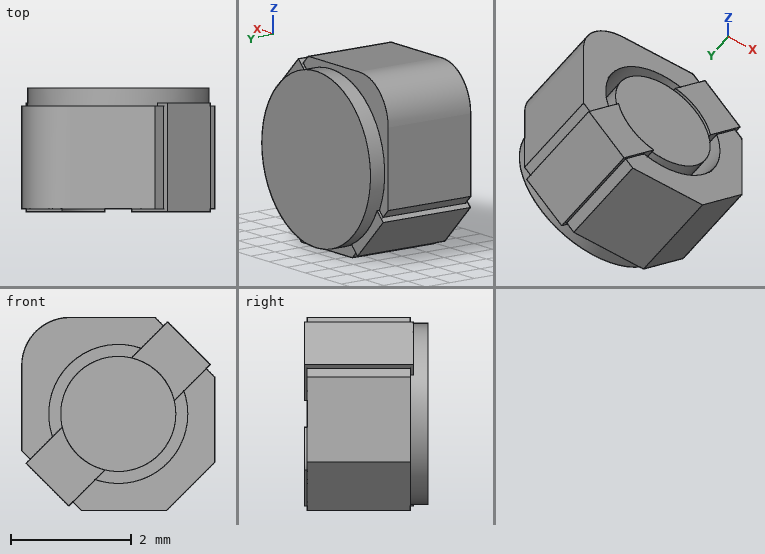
import cadquery as cq
import math

width = 3.2
half_width = width / 2
housing_depth = 1.71
terminal_corner_cut = 0.992
plain_corner_cut = 0.8
round_corner_radius = 0.8

bore_radius = 1.152
post_radius = 0.955
flange_radius = 1.505
flange_depth = 0.295

terminal_width = 1.0
terminal_thickness = 0.095
terminal_overhang = 0.048
terminal_angles = (45.0, 225.0)

housing_front = terminal_overhang
housing_rear = housing_front + housing_depth
terminal_depth = housing_depth + 2 * terminal_overhang
terminal_reach = (width - terminal_corner_cut) / math.sqrt(2) + terminal_thickness


def cylinder(radius, front, depth):
    """Solid cylinder about the Y axis, running toward +Y from front."""
    return cq.Workplane("XZ", origin=(0, front, 0)).circle(radius).extrude(-depth)


def make_block():
    """Block without the bore."""
    arc_middle = half_width - round_corner_radius * (1 - math.sqrt(0.5))
    return (
        cq.Workplane("XZ", origin=(0, housing_front, 0))
        .moveTo(-half_width + round_corner_radius, half_width)
        .lineTo(half_width - terminal_corner_cut, half_width)
        .lineTo(half_width, half_width - terminal_corner_cut)
        .lineTo(half_width, -half_width + plain_corner_cut)
        .lineTo(half_width - plain_corner_cut, -half_width)
        .lineTo(-half_width + terminal_corner_cut, -half_width)
        .lineTo(-half_width, -half_width + terminal_corner_cut)
        .lineTo(-half_width, half_width - round_corner_radius)
        .threePointArc((-arc_middle, arc_middle), (-half_width + round_corner_radius, half_width))
        .close()
        .extrude(-housing_depth)
    )


def make_housing():
    """Bored block with its flange, and the post standing on the flange."""
    bore = cylinder(bore_radius, housing_front, housing_depth)
    post = cylinder(post_radius, housing_front, housing_depth)
    flange = cylinder(flange_radius, housing_rear, flange_depth)
    return make_block().cut(bore).union(flange).union(post)


def make_terminal(angle, housing):
    """Clip around one cut corner, filling the annular gap between bore and post.

    It ends against the post at the front and against the flange at the rear.
    """
    blank = (
        cq.Workplane("XY")
        .box(terminal_reach, terminal_depth, terminal_width, centered=(False, False, True))
        .rotate((0, 0, 0), (0, 1, 0), -angle)
    )
    post_clearance = cylinder(post_radius, 0, housing_rear)
    return blank.cut(post_clearance).cut(housing)


housing = make_housing()
terminals = [make_terminal(angle, housing) for angle in terminal_angles]

result = cq.Compound.makeCompound([housing.val(), *[terminal.val() for terminal in terminals]])